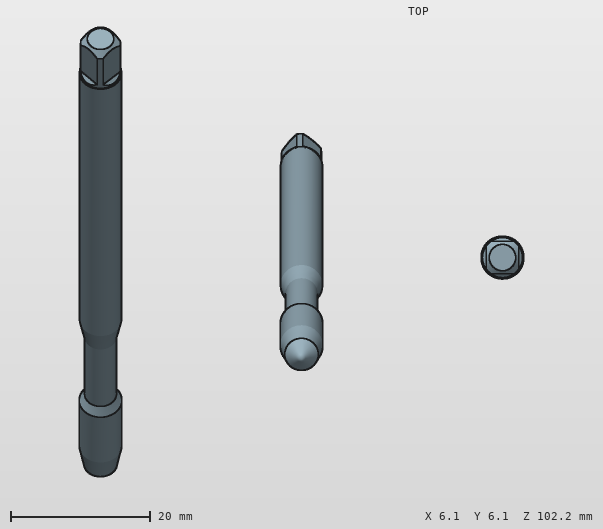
import cadquery as cq

head_diameter = 6.1
shank_diameter = 6.0
drive_diameter = 5.7
neck_diameter = 4.6
lead_tip_diameter = 4.8
top_face_diameter = 3.8
square_width = 4.6

total_length = 102.2
point_height = lead_tip_diameter / 2
lead_top = 6.6
head_edge = 17.3
head_top = 18.8
neck_top = 32.2
shank_bottom = 36.3
shank_top = 94.3
flats_bottom = 95.1

end_chamfer = (drive_diameter - top_face_diameter) / 2
runout = (drive_diameter - square_width) / 2


def revolve_profile(points):
    """Turn an outline of (radius, height) points around the Z axis."""
    return cq.Workplane("XZ").polyline(points).close().revolve(360, (0, 0, 0), (0, 1, 0))


def make_head():
    """Working head: point, tapered lead, cylinder and upper cone."""
    return revolve_profile([
        (0, 0),
        (lead_tip_diameter / 2, point_height),
        (head_diameter / 2, lead_top),
        (head_diameter / 2, head_edge),
        (neck_diameter / 2, head_top),
        (0, head_top),
    ])


def make_flat_cutter():
    """Cutter for the +X flat, with a sloping run-out at its lower end."""
    flat = square_width / 2
    outer = drive_diameter / 2
    return (
        cq.Workplane("XZ")
        .polyline([
            (flat, flats_bottom),
            (outer, flats_bottom - runout),
            (outer, total_length),
            (flat, total_length),
        ])
        .close()
        .extrude(outer, both=True)
    )


def make_shank():
    """Neck, taper and shank, ending in a chamfered square drive."""
    shank = revolve_profile([
        (0, head_top),
        (neck_diameter / 2, head_top),
        (neck_diameter / 2, neck_top),
        (shank_diameter / 2, shank_bottom),
        (shank_diameter / 2, shank_top),
        (drive_diameter / 2, shank_top),
        (drive_diameter / 2, total_length - end_chamfer),
        (top_face_diameter / 2, total_length),
        (0, total_length),
    ])
    cutter = make_flat_cutter()
    for angle in (0, 90, 180, 270):
        shank = shank.cut(cutter.rotate((0, 0, 0), (0, 0, 1), angle))
    return shank


head = make_head()
shank = make_shank()

result = cq.Compound.makeCompound([head.val(), *shank.vals()])